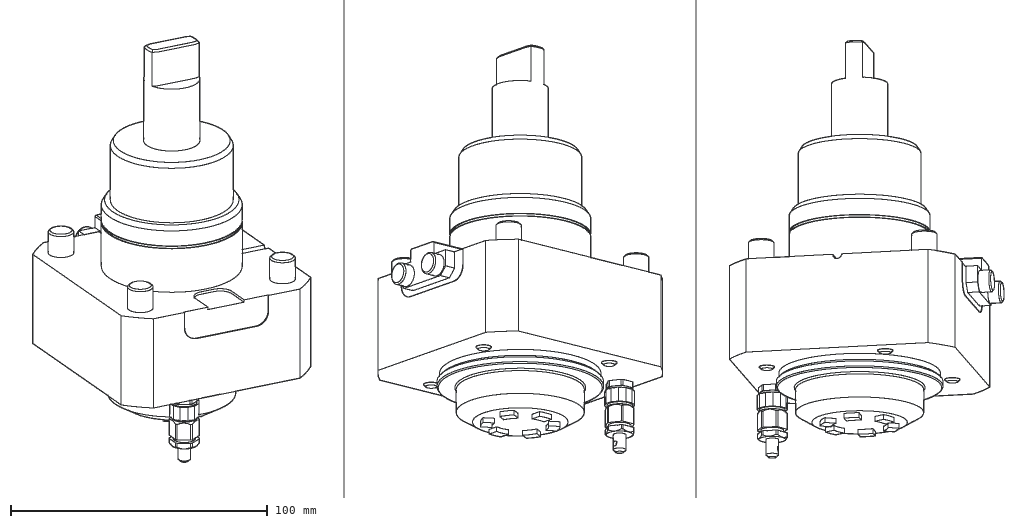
import cadquery as cq
import math


body_length = 90.0
body_width = 84.0
body_height = 37.5
body_corner_diameter = 111.0
body_half_length = body_length / 2

collar_diameter = 55.0
collar_top = 27.8
collar_chamfer_width = 1.3
collar_chamfer_height = 2.0
seal_groove_top = 19.3
seal_groove_height = 1.0
seal_groove_depth = 0.4
sleeve_diameter = 48.0
sleeve_top = 52.7
sleeve_chamfer_width = 1.2
sleeve_chamfer_height = 2.0
shaft_diameter = 22.0
shaft_top = 93.7
blade_height = 15.0
blade_thickness = 8.0
blade_flat_width = 16.0
blade_end_thickness = 6.4
blade_top_chamfer = 0.8

neck_radius = 31.5
neck_height = 2.4
flange_radius = 32.5
flange_bottom = -43.3
flange_top_chamfer = 0.9
flange_bottom_chamfer = 0.5
knob_radius = 25.0
knob_shoulder_height = 0.8
knob_shoulder_width = 0.5
knob_cone_top = -53.4
knob_bottom = -57.3
knob_tip_radius = 18.6

lug_count = 6
lug_outer_radius = 15.5
lug_inner_radius = 11.1
lug_width = 6.0
lug_height = 1.9

post_diameter = 10.0
post_height = 9.5
post_chamfer = 0.7
post_spacing_x = 65.0
post_spacing_y = 63.0
plug_count = 4
plug_diameter = 6.0
plug_height = 0.9
plug_chamfer = 0.8
plug_circle_radius = 37.5
plug_start_angle = 27.5

side_recess_width = 37.2
side_recess_height = 12.0
left_recess_depth = 0.2
right_recess_depth = 0.5
side_recess_radius = 5.5
top_slot_width = 16.0
top_slot_depth = 1.0
top_slot_end = 29.2
top_slot_radius = 5.1
vent_groove_radius = 1.75

bracket_outer_x = -50.0
bracket_inner_x = -34.8
bracket_width = 14.0
bracket_top = 4.8
bracket_edge_chamfer = 0.5
foot_width = 28.4
foot_top = -0.4
foot_bottom = -10.2
foot_corner_chamfer = 3.2
foot_gap = 0.4
bolt_diameter = 8.6
bolt_tip_x = -54.9
bolt_spacing = 18.0
bolt_z = -5.5
bolt_chamfer = 0.6

connector_x = 38.0
connector_y = -15.0
connector_corner_radius = 5.9
connector_waist_radius = 5.0
adapter_corner_radius = 5.5
connector_neck_radius = 4.4
adapter_bottom = -39.9
ring_top = -40.8
ring_bottom = -46.5
gland_taper_top = -47.3
gland_hex_top = -48.2
gland_bottom = -54.7
nut_top = -56.1
nut_bottom = -58.5
nut_chamfer = 0.7
hex_corner_trim = 0.2
ring_sides = 12
cable_diameter = 5.0
cable_bottom = -65.6
cable_chamfer = 1.0
cable_hole_diameter = 2.0
cable_hole_depth = 1.5
cable_hole_z = -62.5


def cylinder(x, y, bottom, top, radius):
    """Vertical cylinder between two heights."""
    return cq.Workplane("XY", origin=(x, y, bottom)).circle(radius).extrude(top - bottom)


def prism(sides, bottom, top, corner_radius):
    """Regular vertical prism on the connector axis."""
    base = cq.Workplane("XY", origin=(connector_x, connector_y, bottom))
    return base.polygon(sides, 2 * corner_radius).extrude(top - bottom)


def trimmed_hexagon(bottom, top, corner_radius):
    """Hexagonal prism whose vertical corners are turned off slightly."""
    turned = cylinder(connector_x, connector_y, bottom, top, corner_radius)
    return prism(6, bottom, top, corner_radius + hex_corner_trim).intersect(turned)


def make_body():
    block = cq.Workplane("XY").box(body_length, body_width, body_height, centered=(True, True, False))
    corner_limit = cq.Workplane("XY").circle(body_corner_diameter / 2).extrude(body_height)
    return block.intersect(corner_limit).translate((0, 0, -body_height))


def make_side_recess(side, depth):
    """Cutter for the shallow recess on the +X (side = 1) or -X (side = -1) face."""
    cutter = (
        cq.Workplane("XY")
        .box(2 * depth, side_recess_width, 2 * side_recess_height)
        .edges("|X")
        .fillet(side_recess_radius)
    )
    return cutter.translate((side * body_half_length, 0, 0))


def make_top_slot(side):
    """Cutter for the shallow slot running in from the +X or -X edge of the top face."""
    slot_length = 2 * (body_half_length - top_slot_end)
    cutter = (
        cq.Workplane("XY")
        .box(slot_length, top_slot_width, 2 * top_slot_depth)
        .edges("|Z")
        .fillet(top_slot_radius)
    )
    edge_opening = cq.Workplane("XY").box(slot_length / 2, top_slot_width, 2 * top_slot_depth)
    return cutter.union(edge_opening).translate((side * body_half_length, 0, 0))


def make_vent_groove():
    """Cutter for the half-round groove from the collar to the +Y edge."""
    return cq.Workplane("XZ").circle(vent_groove_radius).extrude(-body_width / 2)


def make_turned_parts():
    """Knob, flange, collar and sleeve as one body of revolution."""
    collar_radius = collar_diameter / 2
    sleeve_radius = sleeve_diameter / 2
    groove_radius = collar_radius - seal_groove_depth
    groove_bottom = seal_groove_top - seal_groove_height
    neck_bottom = -body_height - neck_height
    profile = [
        (0, knob_bottom),
        (knob_tip_radius, knob_bottom),
        (knob_radius, knob_cone_top),
        (knob_radius, flange_bottom - knob_shoulder_height),
        (knob_radius + knob_shoulder_width, flange_bottom),
        (flange_radius - flange_bottom_chamfer, flange_bottom),
        (flange_radius, flange_bottom + flange_bottom_chamfer),
        (flange_radius, neck_bottom - flange_top_chamfer),
        (neck_radius, neck_bottom),
        (neck_radius, -body_height),
        (collar_radius, -body_height),
        (collar_radius, groove_bottom),
        (groove_radius, groove_bottom),
        (groove_radius, seal_groove_top),
        (collar_radius, seal_groove_top),
        (collar_radius, collar_top - collar_chamfer_height),
        (collar_radius - collar_chamfer_width, collar_top),
        (sleeve_radius, collar_top),
        (sleeve_radius, sleeve_top - sleeve_chamfer_height),
        (sleeve_radius - sleeve_chamfer_width, sleeve_top),
        (0, sleeve_top),
    ]
    return cq.Workplane("XZ").polyline(profile).close().revolve(360, (0, 0, 0), (0, 1, 0))


def make_shaft():
    """Round shaft ending in a flat blade with bevelled side edges."""
    shoulder = shaft_top - blade_height
    shaft_radius = shaft_diameter / 2
    round_part = cylinder(0, 0, sleeve_top, shoulder, shaft_radius)
    half_thickness = blade_thickness / 2
    half_flat = blade_flat_width / 2
    half_end = blade_end_thickness / 2
    outline = [
        (half_thickness, -half_flat),
        (half_thickness, half_flat),
        (half_end, shaft_radius),
        (-half_end, shaft_radius),
        (-half_thickness, half_flat),
        (-half_thickness, -half_flat),
        (-half_end, -shaft_radius),
        (half_end, -shaft_radius),
    ]
    blade = cq.Workplane("XY", origin=(0, 0, shoulder)).polyline(outline).close().extrude(blade_height)
    blade = blade.intersect(cylinder(0, 0, shoulder, shaft_top, shaft_radius))
    return round_part.union(blade.faces(">Z").chamfer(blade_top_chamfer))


def make_lugs():
    """Lugs cut from a ring, evenly spaced from the Y axis."""
    lug_bottom = knob_bottom - lug_height
    ring = cylinder(0, 0, lug_bottom, knob_bottom, lug_outer_radius)
    ring = ring.cut(cylinder(0, 0, lug_bottom, knob_bottom, lug_inner_radius))
    bar_base = cq.Workplane("XY", origin=(0, 0, lug_bottom))
    bar = bar_base.rect(lug_width, 2 * lug_outer_radius).extrude(lug_height)
    bars = bar
    for index in range(1, lug_count // 2):
        bars = bars.union(bar.rotate((0, 0, 0), (0, 0, 1), index * 360 / lug_count))
    return ring.intersect(bars)


def make_posts():
    posts = cq.Workplane("XY").rect(post_spacing_x, post_spacing_y, forConstruction=True).vertices()
    return posts.circle(post_diameter / 2).extrude(post_height).faces(">Z").chamfer(post_chamfer)


def make_plug(index):
    """One low tapered plug under the body."""
    angle = math.radians(plug_start_angle + index * 360 / plug_count)
    x = plug_circle_radius * math.cos(angle)
    y = plug_circle_radius * math.sin(angle)
    plug = cylinder(x, y, -body_height - plug_height, -body_height, plug_diameter / 2)
    return plug.faces("<Z").chamfer(plug_chamfer)


def make_bracket():
    """Clamp with a raised tongue in the top slot and a bolted foot just clear of the -X face."""
    tongue_length = bracket_inner_x - bracket_outer_x
    tongue = (
        cq.Workplane("XY", origin=(bracket_outer_x, 0, -top_slot_depth))
        .box(tongue_length, bracket_width, bracket_top + top_slot_depth, centered=(False, True, False))
        .edges("|X and >Z")
        .chamfer(bracket_edge_chamfer)
    )
    foot_thickness = -body_half_length - foot_gap - bracket_outer_x
    foot = (
        cq.Workplane("XY", origin=(bracket_outer_x, 0, foot_bottom))
        .box(foot_thickness, foot_width, foot_top - foot_bottom, centered=(False, True, False))
        .edges("|X and <Z")
        .chamfer(foot_corner_chamfer)
    )
    bolts = (
        cq.Workplane("YZ", origin=(bracket_outer_x, 0, bolt_z))
        .pushPoints([(-bolt_spacing / 2, 0), (bolt_spacing / 2, 0)])
        .circle(bolt_diameter / 2)
        .extrude(bolt_tip_x - bracket_outer_x)
        .faces("<X")
        .chamfer(bolt_chamfer)
    )
    return tongue.union(foot).union(bolts)


def make_connector():
    """Stacked adapter, faceted ring, gland, nut and cable end."""
    adapter = trimmed_hexagon(adapter_bottom, -body_height, adapter_corner_radius)
    waist = cylinder(connector_x, connector_y, gland_taper_top, adapter_bottom, connector_waist_radius)
    ring = prism(ring_sides, ring_bottom, ring_top, connector_corner_radius)
    ring = ring.rotate((connector_x, connector_y, 0), (connector_x, connector_y, 1), 180 / ring_sides)
    gland = trimmed_hexagon(gland_bottom, gland_taper_top, connector_corner_radius)
    taper_width = connector_corner_radius - connector_waist_radius
    taper_limit = cylinder(connector_x, connector_y, gland_bottom, gland_taper_top, connector_corner_radius)
    taper_limit = taper_limit.faces(">Z").chamfer(gland_taper_top - gland_hex_top, taper_width)
    gland = gland.intersect(taper_limit)
    neck = cylinder(connector_x, connector_y, nut_top, gland_bottom, connector_neck_radius)
    nut = trimmed_hexagon(nut_bottom, nut_top, connector_corner_radius)
    nut_limit = cylinder(connector_x, connector_y, nut_bottom, nut_top, connector_corner_radius)
    nut = nut.intersect(nut_limit.faces("<Z").chamfer(nut_chamfer))
    return adapter.union(waist).union(ring).union(gland).union(neck).union(nut).union(make_cable())


def make_cable():
    """Cable end with a small blind hole on its -X side."""
    cable_radius = cable_diameter / 2
    cable = cylinder(connector_x, connector_y, cable_bottom, nut_bottom, cable_radius)
    cable = cable.faces("<Z").chamfer(cable_chamfer)
    hole = (
        cq.Workplane("YZ", origin=(connector_x - cable_radius, connector_y, cable_hole_z))
        .circle(cable_hole_diameter / 2)
        .extrude(cable_hole_depth)
    )
    return cable.cut(hole)


body = make_body()
for side, recess_depth in ((-1, left_recess_depth), (1, right_recess_depth)):
    body = body.cut(make_side_recess(side, recess_depth)).cut(make_top_slot(side))
body = body.cut(make_vent_groove())

result = body.union(make_turned_parts()).union(make_shaft()).union(make_lugs())
result = result.union(make_posts()).union(make_bracket()).union(make_connector())
for plug_index in range(plug_count):
    result = result.union(make_plug(plug_index))